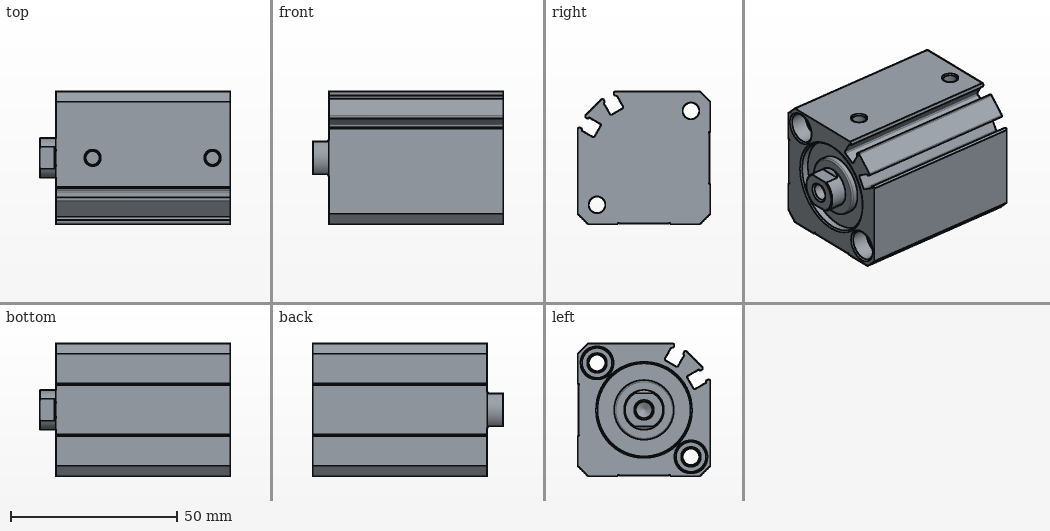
import cadquery as cq
import math


TOTAL_LENGTH = 57.5
ROD_EXTENSION = 4.95
BODY_LENGTH = TOTAL_LENGTH - ROD_EXTENSION
BODY_SIDE = 40.0
HALF_SIDE = BODY_SIDE / 2
CORNER_CHAMFER = 3.15

RELIEF_HALF_WIDTH = 8.0
RELIEF_DEPTH = 0.25
NOTCH_DEPTH = 0.45
NOTCH_WIDTH = 0.65

FACET_DISTANCE = 21.55
CORNER_ANGLE = 135
SLOT_SPREAD = 15
SLOT_ANGLES = (CORNER_ANGLE - SLOT_SPREAD, CORNER_ANGLE + SLOT_SPREAD)
SLOT_FLOOR_RADIUS = 16.15
SLOT_LIP_RADIUS = 20.35
LIP_TOP_RADIUS = 21.7
SLOT_WIDTH = 4.5
SLOT_OPENING = 3.45
LIP_OUTER_FILLET = 0.5
LIP_INNER_FILLET = 0.4
SLOT_FLOOR_FILLET = 0.35

MOUNT_OFFSET = 14.15
MOUNT_HOLE_DIAMETER = 4.95
MOUNT_HOLE_RIM = 6.0
COUNTERBORE_DIAMETER = 9.0
COUNTERBORE_RIM = 10.0
COUNTERBORE_DEPTH = 5.75

RECESS_DIAMETER = 28.0
RECESS_RIM = 29.0
RECESS_DEPTH = 2.7
BOSS_DIAMETER = 18.0
BOSS_FILLET = 0.45
BOSS_SETBACK = 0.5

PORT_DIAMETER = 4.15
PORT_RIM = 5.0
PORT_DEPTH = 5.0
PORT_POSITIONS = (11.05, 47.15)

ROD_DIAMETER = 12.0
ROD_DEPTH = 35.0
ROD_CHAMFER = 0.3
FLAT_SPACING = 10.0
FLAT_LENGTH = 4.5
ROD_HOLE_DIAMETER = 4.95
ROD_HOLE_RIM = 6.0
ROD_HOLE_DEPTH = 12.0
DRILL_TIP_ANGLE = 118

X_AXIS = cq.Vector(1, 0, 0)
DOWN = cq.Vector(0, 0, -1)


def cylinder(diameter, length, start, direction=X_AXIS):
    return cq.Workplane(cq.Solid.makeCylinder(diameter / 2, length, start, direction))


def chamfered_hole(diameter, rim_diameter, depth, start, direction=X_AXIS):
    """Cutting tool for a round hole with a 45 degree chamfer at its mouth."""
    chamfer = (rim_diameter - diameter) / 2
    mouth = cq.Solid.makeCone(rim_diameter / 2, diameter / 2, chamfer, start, direction)
    return cylinder(diameter, depth, start, direction).union(cq.Workplane(mouth))


def relief_tool():
    """Shallow relief along the bottom face, with a V notch at each end."""
    bottom = -HALF_SIDE
    notch_middle = RELIEF_HALF_WIDTH - NOTCH_WIDTH / 2
    notch_end = RELIEF_HALF_WIDTH - NOTCH_WIDTH
    right_half = [
        (notch_end, bottom + RELIEF_DEPTH),
        (notch_middle, bottom + NOTCH_DEPTH),
        (RELIEF_HALF_WIDTH, bottom),
    ]
    left_half = [(-y, z) for y, z in reversed(right_half)]
    return cq.Workplane("YZ").polyline(right_half + left_half).close().extrude(BODY_LENGTH)


def channel(inner, outer, width):
    """Full-length bar between two distances from the rod axis, pointing along +Y."""
    bar = cq.Workplane("XY").box(BODY_LENGTH, outer - inner, width, centered=(False, False, True))
    return bar.translate((0, inner, 0))


def slot_tool(angle):
    """T-shaped slot at an angle from +Y about the rod axis, with the trim of its outer lip."""
    groove = channel(SLOT_FLOOR_RADIUS, SLOT_LIP_RADIUS, SLOT_WIDTH)
    groove = groove.faces("<Y").edges("|X").fillet(SLOT_FLOOR_FILLET)
    opening = channel(SLOT_FLOOR_RADIUS, BODY_SIDE, SLOT_OPENING)
    lip_trim = channel(LIP_TOP_RADIUS, BODY_SIDE, HALF_SIDE)
    lip_trim = lip_trim.translate((0, 0, math.copysign(HALF_SIDE / 2, angle - CORNER_ANGLE)))
    return groove.union(opening).union(lip_trim).rotate((0, 0, 0), (1, 0, 0), angle)


def slot_coordinates(edge, angle):
    """Distance of an edge from the rod axis along a slot, and sideways from the slot's middle."""
    middle = edge.Center()
    along_y = math.cos(math.radians(angle))
    along_z = math.sin(math.radians(angle))
    outward = middle.y * along_y + middle.z * along_z
    sideways = middle.z * along_y - middle.y * along_z
    return outward, sideways


def is_lip_edge(edge, outer):
    """True for an edge of a slot opening, on the outer or the inner side of its lip."""
    mid_lip = (SLOT_LIP_RADIUS + FACET_DISTANCE) / 2
    tolerance = 0.005
    for angle in SLOT_ANGLES:
        outward, sideways = slot_coordinates(edge, angle)
        on_opening = abs(abs(sideways) - SLOT_OPENING / 2) < tolerance
        near_lip = outward > SLOT_LIP_RADIUS - tolerance
        if on_opening and near_lip and (outward > mid_lip) == outer:
            return True
    return False


def make_profile():
    """Extruded housing outline: chamfered corners, side reliefs and sensor slots."""
    body = cq.Workplane("YZ").rect(BODY_SIDE, BODY_SIDE).extrude(BODY_LENGTH)
    body = body.edges("|X").edges("<Z or >Y").chamfer(CORNER_CHAMFER)

    facet_tool = channel(FACET_DISTANCE, BODY_SIDE, BODY_SIDE).rotate((0, 0, 0), (1, 0, 0), CORNER_ANGLE)
    body = body.cut(facet_tool)

    bottom_relief = relief_tool()
    side_relief = bottom_relief.rotate((0, 0, 0), (1, 0, 0), 90)
    body = body.cut(bottom_relief).cut(side_relief)

    for angle in SLOT_ANGLES:
        body = body.cut(slot_tool(angle))
    body = body.edges("|X").filter(lambda edge: is_lip_edge(edge, True)).fillet(LIP_OUTER_FILLET)
    body = body.edges("|X").filter(lambda edge: is_lip_edge(edge, False)).fillet(LIP_INNER_FILLET)
    return body


def mounting_hole_tool(side):
    """Counterbored through hole; side is +1 for the +Y/+Z corner and -1 for the -Y/-Z corner."""
    offset = side * MOUNT_OFFSET
    counterbore = chamfered_hole(
        COUNTERBORE_DIAMETER, COUNTERBORE_RIM, COUNTERBORE_DEPTH, cq.Vector(0, offset, offset)
    )
    hole = chamfered_hole(
        MOUNT_HOLE_DIAMETER,
        MOUNT_HOLE_RIM,
        BODY_LENGTH - COUNTERBORE_DEPTH,
        cq.Vector(COUNTERBORE_DEPTH, offset, offset),
    )
    return counterbore.union(hole)


def front_recess_tool():
    """Round recess that leaves the rounded gland boss standing on its floor."""
    recess = chamfered_hole(RECESS_DIAMETER, RECESS_RIM, RECESS_DEPTH, cq.Vector(0, 0, 0))
    boss = cylinder(BOSS_DIAMETER, RECESS_DEPTH - BOSS_SETBACK, cq.Vector(BOSS_SETBACK, 0, 0))
    boss = boss.faces("<X").fillet(BOSS_FILLET)
    return recess.cut(boss)


def make_housing():
    housing = make_profile()
    housing = housing.cut(front_recess_tool())
    for side in (1, -1):
        housing = housing.cut(mounting_hole_tool(side))
    for position in PORT_POSITIONS:
        port_mouth = cq.Vector(position, 0, HALF_SIDE)
        housing = housing.cut(chamfered_hole(PORT_DIAMETER, PORT_RIM, PORT_DEPTH, port_mouth, DOWN))
    rod_bore = cylinder(ROD_DIAMETER, ROD_DEPTH, cq.Vector(0, 0, 0))
    return housing.cut(rod_bore)


def make_rod():
    tip = cq.Vector(-ROD_EXTENSION, 0, 0)
    rod = cylinder(ROD_DIAMETER, ROD_EXTENSION + ROD_DEPTH, tip)
    rod = rod.faces("<X").chamfer(ROD_CHAMFER)

    flat_end = -ROD_EXTENSION + FLAT_LENGTH
    flat_height = FLAT_SPACING / 2
    for side in (1, -1):
        flat_outline = [
            (-ROD_EXTENSION, side * flat_height),
            (flat_end, side * flat_height),
            (flat_end + ROD_DIAMETER, side * (flat_height + ROD_DIAMETER)),
            (-ROD_EXTENSION, side * (flat_height + ROD_DIAMETER)),
        ]
        flat_tool = cq.Workplane("XZ").polyline(flat_outline).close().extrude(ROD_DIAMETER / 2, both=True)
        rod = rod.cut(flat_tool)

    drill_tip_length = ROD_HOLE_DIAMETER / 2 / math.tan(math.radians(DRILL_TIP_ANGLE / 2))
    drill_tip_start = tip + X_AXIS * ROD_HOLE_DEPTH
    drill_tip = cq.Solid.makeCone(ROD_HOLE_DIAMETER / 2, 0, drill_tip_length, drill_tip_start, X_AXIS)
    rod = rod.cut(chamfered_hole(ROD_HOLE_DIAMETER, ROD_HOLE_RIM, ROD_HOLE_DEPTH, tip))
    return rod.cut(cq.Workplane(drill_tip))


housing = make_housing()
rod = make_rod()
result = cq.Compound.makeCompound([*housing.solids().vals(), *rod.solids().vals()])